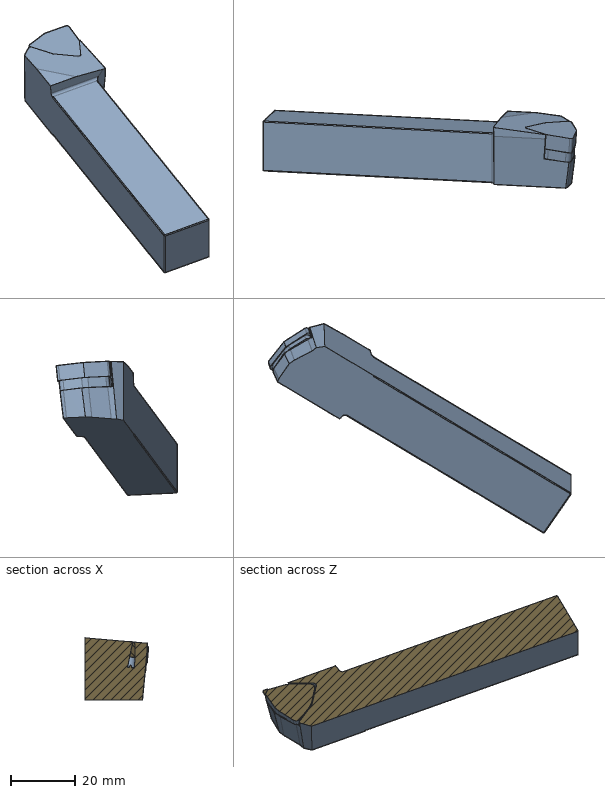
import math
import cadquery as cq

TOTAL_LENGTH = 99.9
SHANK_SIZE = 16.0
SHANK_CHAMFER = 0.3

HEAD_HEIGHT = 19.5
HEAD_WIDTH = 19.5
HEAD_END_X = 25.3
STEP_RUN = 0.6
STEP_FILLET = 0.9
BLANK_HEIGHT = 20.0
NOSE_BOTTOM = [(8.5, 0.0), (6.5, 1.8), (6.0, 3.4), (3.0, 9.0), (2.3, 10.9), (2.3, 16.9), (2.6, 18.0)]
NOSE_TOP = [(8.2, 0.0), (4.9, 3.4), (4.0, 5.2), (1.0, 10.8), (-0.6, 12.9), (-0.8, 18.6), (-0.3, 19.9)]
HEAD_BACK_BOTTOM_Y = NOSE_BOTTOM[-1][1]
HEAD_BACK_TOP_Y = NOSE_TOP[-1][1]

RAKE_ANGLE = 7.0
RAKE_START_X = 16.2
RAKE_REACH = 60.0

INSERT_CENTER = (2.6, 15.9)
INSERT_RADIUS = 6.4
INSERT_NOSE = 0.8
INSERT_THICKNESS = 4.8
SEAT_RADIUS = 6.2
SEAT_NOSE = 1.4
SEAT_THICKNESS = 3.2
SEAT_FLAT_ANGLE = 9.0
POCKET_DEPTH = INSERT_THICKNESS + SEAT_THICKNESS
RELIEF_RADIUS = 0.6
NOSE_HALF_ANGLE = 40.0
BLUNT_HALF_TURN = 10.0
CORNER_PITCH = 120.0
CUTTING_CORNER = 90.0
INNER_CORNERS = (CUTTING_CORNER + CORNER_PITCH, CUTTING_CORNER + 2 * CORNER_PITCH)
CORNERS = (CUTTING_CORNER, *INNER_CORNERS)

STEP_FOOT_X = HEAD_END_X + STEP_RUN
STEP_LEAN = math.atan2(STEP_RUN, HEAD_HEIGHT - SHANK_SIZE)
FILLET_REACH = STEP_FILLET * math.tan((math.pi / 2 - STEP_LEAN) / 2)
STEP_END_X = STEP_FOOT_X + FILLET_REACH

RAKE_SIN = math.sin(math.radians(RAKE_ANGLE))
RAKE_COS = math.cos(math.radians(RAKE_ANGLE))
rake_plane = cq.Plane(
    origin=(RAKE_START_X, 0, HEAD_HEIGHT),
    xDir=(1, 1, 0),
    normal=(-RAKE_SIN / math.sqrt(2), RAKE_SIN / math.sqrt(2), RAKE_COS),
)


def around_insert(radius, angle):
    """Point in the rake plane at a polar position about the insert centre."""
    turn = math.radians(angle)
    return (INSERT_CENTER[0] + radius * math.cos(turn), INSERT_CENTER[1] + radius * math.sin(turn))


def blunt_distance(inscribed):
    return inscribed / math.cos(math.radians(BLUNT_HALF_TURN))


def nose_distance(inscribed, nose):
    """Distance from the centre to the tip of a rounded corner."""
    return (inscribed - nose) / math.sin(math.radians(NOSE_HALF_ANGLE)) + nose


def trigon(inscribed, nose, thickness, depth, flat_angle=0.0):
    """Trigon plate whose top lies at the given depth below the rake plane."""
    nose_center = nose_distance(inscribed, nose) - nose
    side_turn = 90 - NOSE_HALF_ANGLE
    blunt_offsets = (-flat_angle, flat_angle) if flat_angle else (0.0,)
    outline = cq.Workplane(rake_plane).workplane(offset=-depth)
    started = False
    for corner in CORNERS:
        center = around_insert(nose_center, corner)
        arc = []
        for offset in (-side_turn, 0, side_turn):
            turn = math.radians(corner + offset)
            arc.append((center[0] + nose * math.cos(turn), center[1] + nose * math.sin(turn)))
        outline = outline.lineTo(*arc[0]) if started else outline.moveTo(*arc[0])
        started = True
        outline = outline.threePointArc(arc[1], arc[2])
        for offset in blunt_offsets:
            blunt_angle = corner + CORNER_PITCH / 2 + offset
            outline = outline.lineTo(*around_insert(blunt_distance(inscribed), blunt_angle))
    return outline.close().extrude(-thickness)


def make_shank():
    shank = cq.Workplane("XY").box(
        TOTAL_LENGTH - STEP_END_X, SHANK_SIZE, SHANK_SIZE, centered=False
    ).translate((STEP_END_X, 0, 0))
    return shank.edges("|X or >X").chamfer(SHANK_CHAMFER)


def make_head_blank():
    """Leaning nose and back wall, lofted from the base outline to the upper outline."""
    bottom = [*NOSE_BOTTOM, (STEP_END_X, HEAD_BACK_BOTTOM_Y), (STEP_END_X, 0)]
    top = [*NOSE_TOP, (STEP_END_X, HEAD_BACK_TOP_Y), (STEP_END_X, 0)]
    return (
        cq.Workplane("XY").polyline(bottom).close()
        .workplane(offset=BLANK_HEIGHT).polyline(top).close()
        .loft(ruled=True)
    )


def step_envelope(plane, outer_size, depth):
    """Prism bounded by the outer head face, the leaning step wall and its fillet."""
    wall_height = outer_size - SHANK_SIZE
    wall_length = math.hypot(STEP_RUN, wall_height)
    arc_start = (
        STEP_FOOT_X - FILLET_REACH * STEP_RUN / wall_length,
        SHANK_SIZE + FILLET_REACH * wall_height / wall_length,
    )
    return (
        cq.Workplane(plane)
        .moveTo(-SHANK_SIZE, 0)
        .lineTo(-SHANK_SIZE, outer_size)
        .lineTo(HEAD_END_X, outer_size)
        .lineTo(*arc_start)
        .tangentArcPoint((STEP_END_X, SHANK_SIZE), relative=False)
        .lineTo(STEP_END_X, 0)
        .close().extrude(depth)
    )


def make_head():
    head = make_head_blank()
    head = head.intersect(step_envelope("XZ", HEAD_HEIGHT, -BLANK_HEIGHT))
    head = head.intersect(step_envelope("XY", HEAD_WIDTH, BLANK_HEIGHT))
    above_rake = cq.Workplane(rake_plane).box(
        RAKE_REACH, RAKE_REACH, RAKE_REACH, centered=(True, False, False)
    )
    return head.cut(above_rake)


def make_pocket():
    """Room for the seat and insert, open on both sides of the cutting corner."""
    pocket = trigon(INSERT_RADIUS, INSERT_NOSE, POCKET_DEPTH, 0)
    first_corner = INNER_CORNERS[0]
    back_blunt = CUTTING_CORNER - CORNER_PITCH / 2
    open_side = (
        cq.Workplane(rake_plane)
        .polyline([
            INSERT_CENTER,
            around_insert(blunt_distance(INSERT_RADIUS), back_blunt),
            around_insert(RAKE_REACH, back_blunt),
            around_insert(RAKE_REACH, CUTTING_CORNER),
            around_insert(RAKE_REACH, first_corner),
            around_insert(nose_distance(INSERT_RADIUS, INSERT_NOSE), first_corner),
        ])
        .close().extrude(-POCKET_DEPTH)
    )
    relief_center = around_insert(nose_distance(INSERT_RADIUS, INSERT_NOSE), first_corner)
    relief = cq.Workplane(rake_plane).center(*relief_center).circle(RELIEF_RADIUS).extrude(-POCKET_DEPTH)
    return pocket.union(open_side).union(relief)


def make_holder():
    holder = make_shank().union(make_head())
    seat = trigon(SEAT_RADIUS, SEAT_NOSE, SEAT_THICKNESS, INSERT_THICKNESS, SEAT_FLAT_ANGLE)
    return holder.cut(make_pocket()).union(seat)


def make_insert():
    return trigon(INSERT_RADIUS, INSERT_NOSE, INSERT_THICKNESS, 0)


holder = make_holder()
insert = make_insert()
result = cq.Compound.makeCompound([holder.val(), insert.val()])